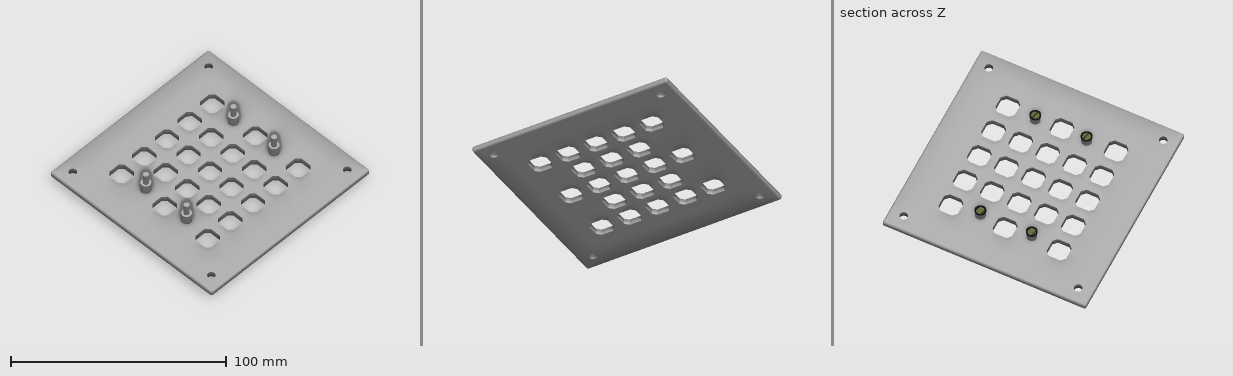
import cadquery as cq

plate_side = 105.0
plate_thickness = 3.0
edge_radius = 1.0

mount_diameter = 4.0
mount_spacing = 90.0

window_side = 10.0
window_corner = 2.0
window_pitch_x = 14.0
window_pitch_y = 15.0
outermost = 2

standoff_spacing_x = 26.5
standoff_spacing_y = 58.0
base_diameter = 5.0
base_height = 5.0
pin_diameter = 2.8
total_height = 14.0
pin_height = total_height - plate_thickness - base_height


def make_plate():
    """Square plate with every outer edge rounded, including the upright corners."""
    plate = cq.Workplane("XY").box(plate_side, plate_side, plate_thickness, centered=(True, True, False))
    return plate.edges().fillet(edge_radius)


def window_centres():
    """Grid positions, leaving out the four places next to the standoffs."""
    steps = range(-outermost, outermost + 1)
    centres = []
    for column in steps:
        for row in steps:
            beside_standoff = abs(row) == outermost and abs(column) == 1
            if not beside_standoff:
                centres.append((column * window_pitch_x, row * window_pitch_y))
    return centres


def make_windows():
    """Cutters for all windows, as tall as the plate."""
    cutter = (
        cq.Workplane("XY")
        .rect(window_side, window_side)
        .extrude(plate_thickness)
        .edges("|Z")
        .chamfer(window_corner)
        .val()
    )
    return cq.Workplane("XY").pushPoints(window_centres()).eachpoint(cutter)


def make_mount_holes():
    """Cutters for the four corner holes, as tall as the plate."""
    corners = cq.Workplane("XY").rect(mount_spacing, mount_spacing, forConstruction=True).vertices()
    return corners.circle(mount_diameter / 2).extrude(plate_thickness)


def standoff_cylinders(diameter, bottom, height):
    """One cylinder at each of the four standoff positions."""
    positions = (
        cq.Workplane("XY", origin=(0, 0, bottom))
        .rect(standoff_spacing_x, standoff_spacing_y, forConstruction=True)
        .vertices()
    )
    return positions.circle(diameter / 2).extrude(height)


bases = standoff_cylinders(base_diameter, plate_thickness, base_height)
pins = standoff_cylinders(pin_diameter, plate_thickness + base_height, pin_height)

result = make_plate().cut(make_windows()).cut(make_mount_holes()).union(bases).union(pins)